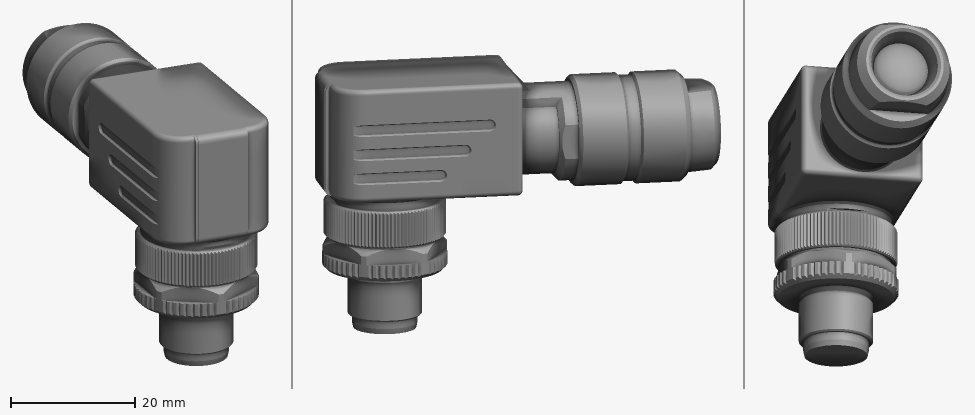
import cadquery as cq
import math

LENGTH = 64.4
HEIGHT = 41.8
PLUG_X = 53.8

BODY_START = 33.0
BODY_END = 63.7
BODY_WIDTH = 20.0
BODY_TOP = 10.7
BODY_BOTTOM = -8.0
BODY_CORNER = 4.9
BODY_FILLET = 0.85

PAD_FLANGE_WIDTH = 9.15
PAD_FLANGE_START = 62.6
PAD_FLANGE_END = 64.2
PAD_WIDTH = 8.4
PAD_START = 62.15
PAD_FILLET = 1.2

GROOVE_STARTS = (37.5, 41.5, 45.45)
GROOVE_END = 60.9
GROOVE_WIDTH = 1.9
GROOVE_PITCH = 4.0
GROOVE_DEPTH = 0.4
GROOVE_TAPER = 30.0

GLAND_R = 9.0
GLAND_GROOVE_R = 8.55
GLAND_GROOVE_START = 13.45
GLAND_GROOVE_END = 15.4
GLAND_GROOVE_CHAMFER = 0.4
GLAND_END = 23.5
GLAND_END_CHAMFER = 0.5
COLLAR_START = 5.1
COLLAR_R = 8.2
COLLAR_CHAMFER = 0.95
TIP_R = 6.4
TIP_CHAMFER = 1.2
FLAT_HALF = 6.6

BORE_MOUTH_R = 5.9
BORE_R = 5.5
BORE_FLOOR_R = 4.45
BORE_MOUTH_DEPTH = 0.3
BORE_DEPTH = 3.2

NECK_R = 6.75
NECK_LIP_R = 7.0
NECK_LIP_LENGTH = 0.4
NECK_RING_R = 8.0
NECK_RING_END = 26.55
NECK_RING_CHAMFER = 0.9
NECK_RING_FLAT = 7.5
NECK_RIB_HALF = 4.4

KEY_WIDTH = 5.15
KEY_FOOT_X = 29.95
KEY_FOOT_Z = 6.9
KEY_TOP_X = 33.15
KEY_TOP_Z = 10.45

FLANGE_R = 9.0
FLANGE_LIP_R = 9.35
FLANGE_LIP_Z = -8.4
FLANGE_NOTCH_Z = -9.15
FLANGE_NOTCH_WIDTH = 6.45
FLANGE_NOTCH_R = 8.4

KNURL_TOP = -9.7
KNURL_BOTTOM = -15.8
KNURL_R = 9.85
KNURL_CHAMFER = 0.4
KNURL_TEETH = 100
KNURL_DEPTH = 0.25

NECK_BETWEEN_RINGS_R = 9.0
NUT_TOP = -16.1
NUT_RIM_TOP = -18.55
NUT_BOTTOM = -21.25
NUT_DIAMETER = 20.15
NUT_R = NUT_DIAMETER / 2
NUT_TOP_R = 9.1
NUT_BOTTOM_CHAMFER = 0.7
HEX_FLATS = 17.9
RIM_PITCHES_PER_CORNER = 9
RIM_GROOVE_WIDTH = 0.7
RIM_GROOVE_DEPTH = 0.3

BARREL_R = 6.0
BARREL_TOP = -22.4
BARREL_BOTTOM = -28.9
BARREL_CHAMFER = 0.25
UNDERCUT_R = 5.55
UNDERCUT_Z = -21.9
PILOT_R = 5.3
PILOT_BOTTOM = BODY_TOP - HEIGHT
PILOT_CHAMFER_LENGTH = 0.9
PILOT_CHAMFER = 0.2


def turned_on_x(points):
    """Revolve an outline of (x, radius) points about the cable axis."""
    return cq.Workplane("XZ").polyline(points).close().revolve(360, (0, 0, 0), (1, 0, 0))


def turned_on_plug(points):
    """Revolve an outline of (radius, z) points about the plug axis."""
    profile = cq.Workplane("XZ", origin=(PLUG_X, 0, 0)).polyline(points).close()
    return profile.revolve(360, (0, 0, 0), (0, 1, 0))


def plug_prism(outline, z_bottom, z_top):
    """Upright prism on the plug axis from an outline of (x, y) points."""
    base = cq.Workplane("XY", origin=(PLUG_X, 0, z_bottom)).polyline(outline).close()
    return base.extrude(z_top - z_bottom)


def polar_point(radius, angle):
    return radius * math.cos(angle), radius * math.sin(angle)


def block(x_start, x_end, width, z_bottom, z_top):
    """Box centred on Y = 0."""
    size = (x_end - x_start, width, z_top - z_bottom)
    return cq.Workplane("XY").box(*size, centered=(False, True, False)).translate((x_start, 0, z_bottom))


def make_housing():
    body = block(BODY_START, BODY_END, BODY_WIDTH, BODY_BOTTOM, BODY_TOP)
    body = body.edges("|Z and >X").fillet(BODY_CORNER)
    body = body.faces("<X or >Z or <Z").edges().fillet(BODY_FILLET)
    return body.union(make_pad()).cut(make_grip_grooves())


def make_pad():
    flange = block(PAD_FLANGE_START, PAD_FLANGE_END, PAD_FLANGE_WIDTH, BODY_BOTTOM, BODY_TOP)
    pad = block(PAD_START, LENGTH, PAD_WIDTH, BODY_BOTTOM, BODY_TOP)
    flange = flange.edges("|Y and >X").fillet(PAD_FILLET)
    pad = pad.edges("|Y and >X").fillet(PAD_FILLET)
    return flange.union(pad)


def make_grip_grooves():
    """Grooves with sloping walls, rounded at the start and square at the end."""
    half = GROOVE_WIDTH / 2
    grooves = cq.Workplane("XY")
    for index, start in enumerate(GROOVE_STARTS):
        z = GROOVE_PITCH * (1 - index)
        groove = (
            cq.Workplane("XZ", origin=(0, -BODY_WIDTH / 2, z))
            .moveTo(GROOVE_END, -half)
            .lineTo(start + half, -half)
            .threePointArc((start, 0), (start + half, half))
            .lineTo(GROOVE_END, half)
            .close()
            .extrude(-GROOVE_DEPTH, taper=GROOVE_TAPER)
        )
        grooves = grooves.add(groove).add(groove.mirror("XZ"))
    return grooves.combine()


def make_gland():
    gland = turned_on_x([
        (0, 0),
        (0, TIP_R),
        (TIP_CHAMFER, TIP_R + TIP_CHAMFER),
        (COLLAR_START, COLLAR_R),
        (COLLAR_START + COLLAR_CHAMFER, GLAND_R),
        (GLAND_GROOVE_START - GLAND_GROOVE_CHAMFER, GLAND_R),
        (GLAND_GROOVE_START, GLAND_GROOVE_R),
        (GLAND_GROOVE_END, GLAND_GROOVE_R),
        (GLAND_GROOVE_END + GLAND_GROOVE_CHAMFER, GLAND_R),
        (GLAND_END - GLAND_END_CHAMFER, GLAND_R),
        (GLAND_END, GLAND_GROOVE_R),
        (GLAND_END, 0),
    ])
    bore = turned_on_x([
        (0, 0),
        (0, BORE_MOUTH_R),
        (BORE_MOUTH_DEPTH, BORE_R),
        (BORE_DEPTH, BORE_FLOOR_R),
        (BORE_DEPTH, 0),
    ])
    above_flat = block(0, COLLAR_START, 2 * GLAND_R, FLAT_HALF, GLAND_R)
    return gland.cut(bore).cut(above_flat).cut(above_flat.mirror("XY"))


def make_neck():
    neck_end = BODY_START + BODY_FILLET
    neck = cq.Workplane("YZ", origin=(GLAND_END, 0, 0)).circle(NECK_RING_R)
    neck = neck.extrude(neck_end - GLAND_END)
    waist = turned_on_x([
        (NECK_RING_END - 2 * NECK_RING_CHAMFER, NECK_RING_R + NECK_RING_CHAMFER),
        (NECK_RING_END, NECK_RING_R - NECK_RING_CHAMFER),
        (NECK_RING_END, NECK_R),
        (BODY_START - NECK_LIP_LENGTH, NECK_R),
        (BODY_START, NECK_LIP_R),
        (neck_end, NECK_LIP_R),
        (neck_end, NECK_RING_R + NECK_RING_CHAMFER),
    ])
    rib = block(GLAND_END, neck_end, 2 * NECK_RIB_HALF, 0, 2 * NECK_RING_R)
    neck = neck.cut(waist.cut(rib))
    for side in (-1, 1):
        beside_flat = block(GLAND_END, NECK_RING_END, NECK_RING_R, -NECK_RING_R, NECK_RING_R)
        neck = neck.cut(beside_flat.translate((0, side * (NECK_RING_FLAT + NECK_RING_R / 2), 0)))
    key = (
        cq.Workplane("XZ")
        .polyline([
            (KEY_FOOT_X, KEY_FOOT_Z),
            (KEY_TOP_X, KEY_TOP_Z),
            (BODY_START + BODY_FILLET, KEY_TOP_Z),
            (BODY_START + BODY_FILLET, KEY_FOOT_Z),
        ])
        .close()
        .extrude(KEY_WIDTH / 2, both=True)
    )
    return neck.union(key)


def make_flange():
    flange = turned_on_plug([
        (0, BODY_BOTTOM),
        (FLANGE_LIP_R, BODY_BOTTOM),
        (FLANGE_R, FLANGE_LIP_Z),
        (FLANGE_R, KNURL_TOP),
        (0, KNURL_TOP),
    ])
    outside = block(
        PLUG_X + FLANGE_NOTCH_R, PLUG_X + FLANGE_LIP_R, FLANGE_NOTCH_WIDTH, KNURL_TOP, FLANGE_NOTCH_Z
    )
    opposite = outside.rotate((PLUG_X, 0, 0), (PLUG_X, 0, 1), 180)
    return flange.cut(outside).cut(opposite)


def make_knurled_ring():
    outline = []
    for index in range(2 * KNURL_TEETH):
        angle = math.pi * index / KNURL_TEETH
        outline.append(polar_point(KNURL_R - KNURL_DEPTH * (index % 2), angle))
    teeth = plug_prism(outline, KNURL_BOTTOM, KNURL_TOP)
    envelope = turned_on_plug([
        (0, KNURL_TOP),
        (KNURL_R - KNURL_CHAMFER, KNURL_TOP),
        (KNURL_R, KNURL_TOP - KNURL_CHAMFER),
        (KNURL_R, KNURL_BOTTOM + KNURL_CHAMFER),
        (KNURL_R - KNURL_CHAMFER, KNURL_BOTTOM),
        (0, KNURL_BOTTOM),
    ])
    return teeth.intersect(envelope)


def make_nut():
    """Hexagon with corners along X; the rim keeps a plain land below each corner."""
    top_chamfer = NUT_R - NUT_TOP_R
    hex_corners = HEX_FLATS / math.cos(math.pi / 6)
    hexagon = cq.Workplane("XY", origin=(PLUG_X, 0, NUT_RIM_TOP))
    hexagon = hexagon.polygon(6, hex_corners).extrude(NUT_TOP - NUT_RIM_TOP)
    rounding = turned_on_plug([
        (0, NUT_TOP),
        (NUT_TOP_R, NUT_TOP),
        (NUT_R, NUT_TOP - top_chamfer),
        (NUT_R, NUT_RIM_TOP),
        (0, NUT_RIM_TOP),
    ])

    rim = turned_on_plug([
        (0, NUT_RIM_TOP),
        (NUT_R, NUT_RIM_TOP),
        (NUT_R, NUT_BOTTOM + NUT_BOTTOM_CHAMFER),
        (NUT_R - NUT_BOTTOM_CHAMFER, NUT_BOTTOM),
        (0, NUT_BOTTOM),
    ])
    pitch_count = 6 * RIM_PITCHES_PER_CORNER
    groove_half_angle = RIM_GROOVE_WIDTH / 2 / NUT_R
    outline = []
    for index in range(pitch_count):
        angle = 2 * math.pi * index / pitch_count
        outline.append(polar_point(NUT_R, angle - groove_half_angle))
        if index % RIM_PITCHES_PER_CORNER:
            outline.append(polar_point(NUT_R - RIM_GROOVE_DEPTH, angle))
        else:
            outline.append(polar_point(NUT_R, angle))
        outline.append(polar_point(NUT_R, angle + groove_half_angle))
    serrated = plug_prism(outline, NUT_BOTTOM, NUT_RIM_TOP)
    return hexagon.intersect(rounding).union(serrated.intersect(rim))


def make_barrel():
    return turned_on_plug([
        (0, KNURL_BOTTOM),
        (NECK_BETWEEN_RINGS_R, KNURL_BOTTOM),
        (NECK_BETWEEN_RINGS_R, NUT_TOP),
        (BARREL_R, NUT_BOTTOM),
        (UNDERCUT_R, UNDERCUT_Z),
        (BARREL_R, BARREL_TOP),
        (BARREL_R, BARREL_BOTTOM + BARREL_CHAMFER),
        (BARREL_R - BARREL_CHAMFER, BARREL_BOTTOM),
        (PILOT_R, BARREL_BOTTOM),
        (PILOT_R, PILOT_BOTTOM + PILOT_CHAMFER_LENGTH),
        (PILOT_R - PILOT_CHAMFER, PILOT_BOTTOM),
        (0, PILOT_BOTTOM),
    ])


result = make_housing()
for section in (make_gland(), make_neck(), make_flange(), make_knurled_ring(), make_nut(), make_barrel()):
    result = result.union(section)